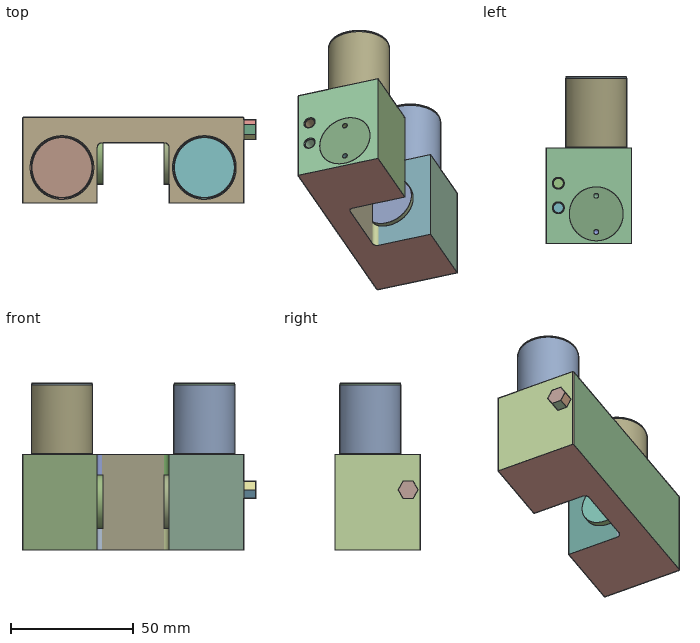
import cadquery as cq
import math

BLOCK_LENGTH = 90.2
BLOCK_DEPTH = 35.0
BLOCK_HEIGHT = 39.0
BACK_CHAMFER = 0.4

LEG_WIDTH = 30.4
BRIDGE_THICKNESS = 10.5
SLOT_FILLET = 2.0
SLOT_WIDTH = BLOCK_LENGTH - 2 * LEG_WIDTH
SLOT_DEPTH = BLOCK_DEPTH - BRIDGE_THICKNESS

PAD_DIAMETER = 21.8
PAD_Y = 18.45
PAD_Z = 19.6
LEFT_PAD_REACH = 2.4
RIGHT_PAD_REACH = 2.1

PORT_DIAMETER = 4.1
PORT_CHAMFER = 0.4
PORT_DEPTH = 9.5
PORT_Y = 29.9
PORT_PITCH = 10.0
UPPER_PORT_Z = 24.5
HEX_ACROSS_FLATS = 7.0
HEX_LENGTH = 4.9

CYLINDER_DIAMETER = 25.0
CYLINDER_TOP_DIAMETER = 24.4
NECK_DIAMETER = 24.8
NECK_GAP = 0.3
CYLINDER_TOP_BEVEL_HEIGHT = 0.9
CYLINDER_RISE = 29.0
CYLINDER_INSET = 16.1
CYLINDER_Y = 14.5
SOCKET_RIM_DIAMETER = 26.0
SOCKET_DEPTH = 2.9

PLUG_DIAMETER = 22.0
PLUG_THICKNESS = 4.8
PLUG_Y = 14.5
PLUG_Z = 12.1
SPANNER_HOLE_DIAMETER = 2.0
SPANNER_HOLE_DEPTH = 2.4
SPANNER_HOLE_PITCH = 14.7
DRILL_POINT_ANGLE = 118.0

CYLINDER_CENTERS = [
    (CYLINDER_INSET, CYLINDER_Y),
    (BLOCK_LENGTH - CYLINDER_INSET, CYLINDER_Y),
]


def rod_along_x(x_start, y, z, diameter, length):
    """Round rod that runs from x_start toward +X."""
    return cq.Workplane("YZ", origin=(x_start, y, z)).circle(diameter / 2).extrude(length)


def cone_along_x(x_start, y, z, start_diameter, end_diameter, length):
    """Cone, pointed or cut off, that runs from x_start toward +X."""
    cone = cq.Solid.makeCone(
        start_diameter / 2, end_diameter / 2, length, cq.Vector(x_start, y, z), cq.Vector(1, 0, 0)
    )
    return cq.Workplane(obj=cone)


def make_block():
    """Block with beveled back corners and the filleted slot."""
    block = cq.Workplane("XY").box(BLOCK_LENGTH, BLOCK_DEPTH, BLOCK_HEIGHT, centered=False)
    block = block.edges("|Z and >Y").chamfer(BACK_CHAMFER)
    slot = (
        cq.Workplane("XY", origin=(LEG_WIDTH, 0, 0))
        .rect(SLOT_WIDTH, SLOT_DEPTH, centered=False)
        .extrude(BLOCK_HEIGHT)
        .edges("|Z and >Y")
        .fillet(SLOT_FILLET)
    )
    return block.cut(slot)


def add_pads(block):
    """Pads that stand out into the slot from both legs."""
    left_pad = rod_along_x(LEG_WIDTH, PAD_Y, PAD_Z, PAD_DIAMETER, LEFT_PAD_REACH)
    right_leg_x = BLOCK_LENGTH - LEG_WIDTH
    right_pad = rod_along_x(right_leg_x, PAD_Y, PAD_Z, PAD_DIAMETER, -RIGHT_PAD_REACH)
    return block.union(left_pad).union(right_pad)


def add_hex_fitting(block):
    """Hexagon on the +X face with two corners pointing along Y."""
    across_corners = HEX_ACROSS_FLATS / math.cos(math.pi / 6)
    fitting = (
        cq.Workplane("YZ", origin=(BLOCK_LENGTH, PORT_Y, UPPER_PORT_Z))
        .polygon(6, across_corners)
        .extrude(HEX_LENGTH)
    )
    return block.union(fitting)


def cut_ports(block):
    """Two blind ports with countersunk mouths."""
    mouth_diameter = PORT_DIAMETER + 2 * PORT_CHAMFER
    for port_z in (UPPER_PORT_Z, UPPER_PORT_Z - PORT_PITCH):
        bore = rod_along_x(0, PORT_Y, port_z, PORT_DIAMETER, PORT_DEPTH)
        mouth = cone_along_x(0, PORT_Y, port_z, mouth_diameter, PORT_DIAMETER, PORT_CHAMFER)
        block = block.cut(bore).cut(mouth)
    return block


def cut_plug_recess(block):
    """Blind recess that the plug fills."""
    return block.cut(rod_along_x(0, PLUG_Y, PLUG_Z, PLUG_DIAMETER, PLUG_THICKNESS))


def cut_sockets(block):
    """Sockets for the cylinder necks, each with a beveled rim."""
    rim_bevel = (SOCKET_RIM_DIAMETER - NECK_DIAMETER) / 2
    for x, y in CYLINDER_CENTERS:
        socket = (
            cq.Workplane("XY", origin=(x, y, BLOCK_HEIGHT))
            .circle(NECK_DIAMETER / 2)
            .extrude(-SOCKET_DEPTH)
        )
        rim = cq.Solid.makeCone(
            SOCKET_RIM_DIAMETER / 2,
            NECK_DIAMETER / 2,
            rim_bevel,
            cq.Vector(x, y, BLOCK_HEIGHT),
            cq.Vector(0, 0, -1),
        )
        block = block.cut(socket).cut(cq.Workplane(obj=rim))
    return block


def make_housing():
    """Complete housing with its pads, hex fitting, ports, plug recess and sockets."""
    housing = make_block()
    housing = add_pads(housing)
    housing = add_hex_fitting(housing)
    housing = cut_ports(housing)
    housing = cut_plug_recess(housing)
    return cut_sockets(housing)


def make_cylinder(x, y):
    """Cylinder with a beveled top edge, on a slightly narrower neck that fills the socket."""
    bevel_width = (CYLINDER_DIAMETER - CYLINDER_TOP_DIAMETER) / 2
    body = (
        cq.Workplane("XY", origin=(x, y, BLOCK_HEIGHT + NECK_GAP))
        .circle(CYLINDER_DIAMETER / 2)
        .extrude(CYLINDER_RISE - NECK_GAP)
        .faces(">Z")
        .edges()
        .chamfer(CYLINDER_TOP_BEVEL_HEIGHT, bevel_width)
    )
    neck = (
        cq.Workplane("XY", origin=(x, y, BLOCK_HEIGHT - SOCKET_DEPTH))
        .circle(NECK_DIAMETER / 2)
        .extrude(SOCKET_DEPTH + NECK_GAP)
    )
    return body.union(neck)


def make_plug():
    """Disc with two drilled spanner holes, one above the other."""
    plug = rod_along_x(0, PLUG_Y, PLUG_Z, PLUG_DIAMETER, PLUG_THICKNESS)
    point_length = SPANNER_HOLE_DIAMETER / 2 / math.tan(math.radians(DRILL_POINT_ANGLE / 2))
    for side in (-1, 1):
        hole_z = PLUG_Z + side * SPANNER_HOLE_PITCH / 2
        hole = rod_along_x(0, PLUG_Y, hole_z, SPANNER_HOLE_DIAMETER, SPANNER_HOLE_DEPTH)
        point = cone_along_x(
            SPANNER_HOLE_DEPTH, PLUG_Y, hole_z, SPANNER_HOLE_DIAMETER, 0, point_length
        )
        plug = plug.cut(hole).cut(point)
    return plug


housing = make_housing()
plug = make_plug()
cylinders = [make_cylinder(x, y).val() for x, y in CYLINDER_CENTERS]

result = cq.Compound.makeCompound([housing.val(), plug.val(), *cylinders])